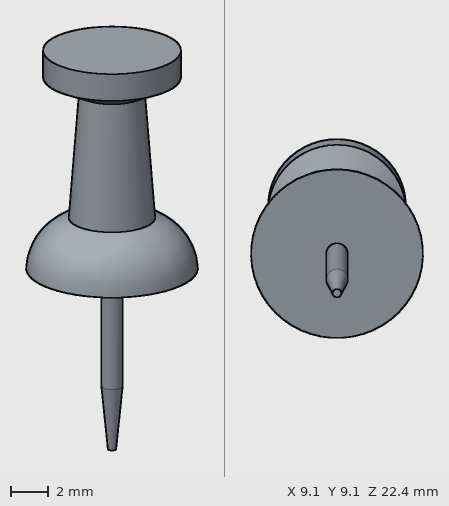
import cadquery as cq

total_height = 22.45
taper_height = 3.57
base_bottom = 10.2
base_top = 13.05
neck_top = 20.05
cap_bottom = 20.95

cap_diameter = 7.3
neck_top_diameter = 3.5
neck_bottom_diameter = 4.58
base_diameter = 9.1

bulge_radius = 3.82
bulge_height = 12.03

pin_diameter = 1.15
point_diameter = 0.45
pin_depth = 2.9
pin_top = base_bottom + pin_depth


def revolve_profile(profile):
    """Turn a closed radius-height profile about the Z axis."""
    return profile.close().revolve(360, (0, 0, 0), (0, 1, 0))


def make_pin():
    """Round pin with a blunt tapered point."""
    profile = (
        cq.Workplane("XZ")
        .lineTo(point_diameter / 2, 0)
        .lineTo(pin_diameter / 2, taper_height)
        .lineTo(pin_diameter / 2, pin_top)
        .lineTo(0, pin_top)
    )
    return revolve_profile(profile)


def make_handle():
    """Domed base, tapered neck and flared cap, with a blind hole for the pin."""
    profile = (
        cq.Workplane("XZ")
        .moveTo(0, base_bottom)
        .lineTo(base_diameter / 2, base_bottom)
        .threePointArc((bulge_radius, bulge_height), (neck_bottom_diameter / 2, base_top))
        .lineTo(neck_top_diameter / 2, neck_top)
        .lineTo(cap_diameter / 2, cap_bottom)
        .lineTo(cap_diameter / 2, total_height)
        .lineTo(0, total_height)
    )
    pin_hole = (
        cq.Workplane("XY")
        .workplane(offset=base_bottom)
        .circle(pin_diameter / 2)
        .extrude(pin_depth)
    )
    return revolve_profile(profile).cut(pin_hole)


pin = make_pin()
handle = make_handle()

result = cq.Compound.makeCompound([handle.val(), pin.val()])